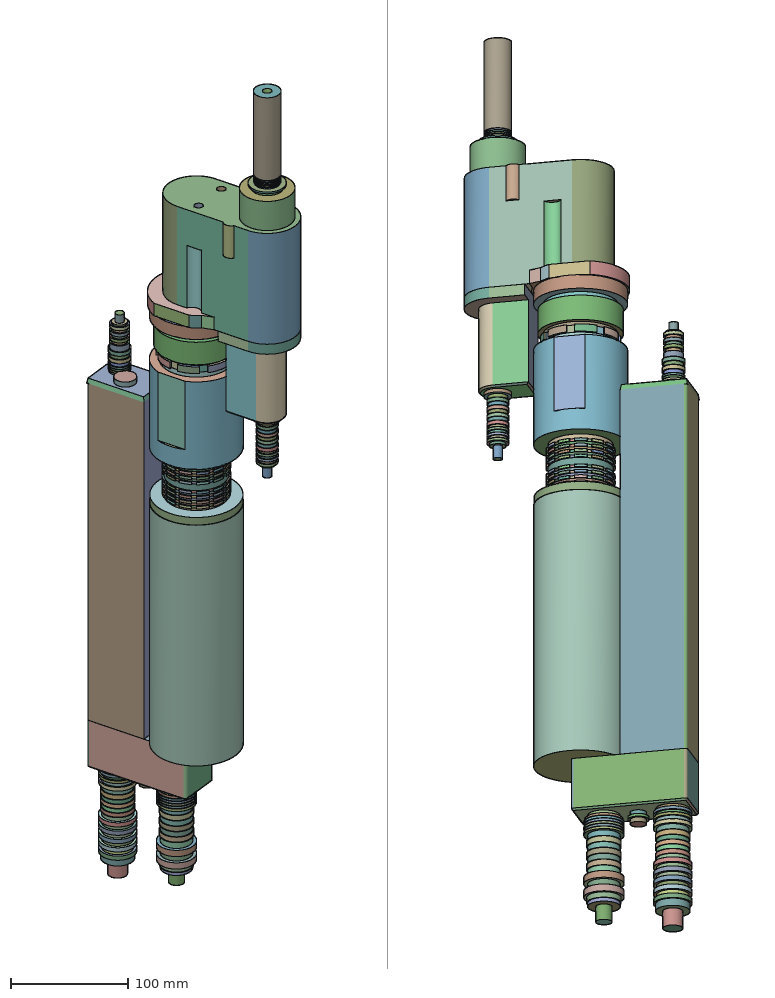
import cadquery as cq
import math

OUTPUT_X = 73.0

TOP_Z = 820
HEAD_TOP_Z = 696.5
FLANGE_TOP_Z = 600.0
HEAD_BOTTOM_Z = 587.0
PLATE_BOTTOM_Z = 577.5
FLANGE_BOTTOM_Z = 575.0
BOX_TOP_Z = 491.0
TUBE_BOTTOM_Z = 155.0
BASE_BOTTOM_Z = 108.0


def cylinder(diameter, bottom_z, top_z, x=0.0, y=0.0):
    """Upright cylinder between two heights."""
    return cq.Workplane("XY", origin=(x, y, bottom_z)).circle(diameter / 2).extrude(top_z - bottom_z)


def block(x_min, x_max, width, bottom_z, top_z):
    """Upright block centred on Y = 0."""
    base = cq.Workplane("XY", origin=((x_min + x_max) / 2, 0, bottom_z))
    return base.rect(x_max - x_min, width).extrude(top_z - bottom_z)


def turned_stack(start_z, sections, x=0.0, y=0.0):
    """Turned shape from (diameter, end height) sections that follow on from start_z."""
    outline = [(0, start_z)]
    section_start = start_z
    for diameter, section_end in sections:
        outline.append((diameter / 2, section_start))
        outline.append((diameter / 2, section_end))
        section_start = section_end
    outline.append((0, section_start))
    turned = cq.Workplane("XZ").polyline(outline).close().revolve(360, (0, 0), (0, 1))
    return turned.translate((x, y, 0))


def ribs(count, rib_diameter, groove_diameter, start_z, end_z):
    """Turned sections for evenly spaced ribs, each one after a groove of the same height."""
    step = (end_z - start_z) / (2 * count)
    sections = []
    for index in range(count):
        groove_end = start_z + (2 * index + 1) * step
        sections.append((groove_diameter, groove_end))
        sections.append((rib_diameter, groove_end + step))
    return sections


def radial_notches(count, width, floor_diameter, bottom_z, top_z):
    """Ring of radial slot cutters that reach in to floor_diameter."""
    floor_radius = floor_diameter / 2
    outer_radius = floor_diameter
    cutters = cq.Workplane("XY")
    for index in range(count):
        cutter = block(floor_radius, outer_radius, width, bottom_z, top_z)
        cutters = cutters.add(cutter.rotate((0, 0, 0), (0, 0, 1), 360 * index / count))
    return cutters.combine()


TUBE_DIAMETER = 80.0
TUBE_RIM_DIAMETER = 79.5
TUBE_RIM_Z = 392.0
TUBE_TOP_Z = 399.5
GRIP_TOP_Z = 447.0
GRIP_DIAMETER = 59.0
GRIP_CORE_DIAMETER = 56.0
GRIP_RIB_PITCH = 5.0
GRIP_RIBS_PER_BAND = 4
GRIP_SLOTS = 12
GRIP_SLOT_WIDTH = 4.0
HOUSING_TOP_Z = 533
HOUSING_FLAT_BOTTOM_Z = 466.0
FLAT_DISTANCE = 38.0
NECK_DIAMETER = 64.0
NOTCHED_RING_BOTTOM_Z = 538.0
NOTCHED_RING_TOP_Z = 545.0
NOTCHED_RING_DIAMETER = 69.0
RING_NOTCHES = 8
RING_NOTCH_WIDTH = 7.0
COLLAR_BOTTOM_Z = 548.0
COLLAR_TOP_Z = 570.0
COLLAR_DIAMETER = 73.0
FLANGE_DIAMETER = 84.0
WEB_START = (27.0, 32.0)
WEB_END = (38.0, 29.0)


def side_flats(bottom_z, top_z):
    """Cutters for two flats, at -Y and +Y."""
    size = 2 * TUBE_DIAMETER
    stock = block(-size / 2, size / 2, size, bottom_z, top_z)
    return stock.cut(block(-size / 2, size / 2, 2 * FLAT_DISTANCE, bottom_z, top_z))


def make_grip():
    grip = cylinder(GRIP_CORE_DIAMETER, TUBE_TOP_Z, GRIP_TOP_Z)
    band_height = (GRIP_TOP_Z - TUBE_TOP_Z) / 2
    for band in range(2):
        for index in range(GRIP_RIBS_PER_BAND):
            rib_z = TUBE_TOP_Z + band * band_height + (index + 0.5) * GRIP_RIB_PITCH
            grip = grip.union(cylinder(GRIP_DIAMETER, rib_z, rib_z + GRIP_RIB_PITCH / 2))
    slots = radial_notches(GRIP_SLOTS, GRIP_SLOT_WIDTH, GRIP_CORE_DIAMETER, TUBE_TOP_Z, GRIP_TOP_Z)
    return grip.cut(slots)


def make_flange():
    flange = cylinder(FLANGE_DIAMETER, HEAD_BOTTOM_Z, FLANGE_TOP_Z)
    web = (
        cq.Workplane("XY", origin=(0, 0, HEAD_BOTTOM_Z))
        .moveTo(0, 0)
        .lineTo(0, WEB_START[1])
        .lineTo(*WEB_START)
        .lineTo(*WEB_END)
        .lineTo(WEB_END[0], 0)
        .mirrorX()
        .extrude(FLANGE_TOP_Z - HEAD_BOTTOM_Z)
    )
    return flange.cut(side_flats(HEAD_BOTTOM_Z, FLANGE_TOP_Z)).union(web)


def make_handle():
    tube = turned_stack(TUBE_BOTTOM_Z, [(TUBE_DIAMETER, TUBE_RIM_Z), (TUBE_RIM_DIAMETER, TUBE_TOP_Z)])
    housing = cylinder(TUBE_DIAMETER, GRIP_TOP_Z, HOUSING_TOP_Z)
    housing = housing.cut(side_flats(HOUSING_FLAT_BOTTOM_Z, HOUSING_TOP_Z))
    upper = turned_stack(
        HOUSING_TOP_Z,
        [
            (NECK_DIAMETER, NOTCHED_RING_BOTTOM_Z),
            (NOTCHED_RING_DIAMETER, NOTCHED_RING_TOP_Z),
            (NECK_DIAMETER, COLLAR_BOTTOM_Z),
            (COLLAR_DIAMETER, COLLAR_TOP_Z),
            (NECK_DIAMETER, FLANGE_BOTTOM_Z),
            (TUBE_DIAMETER, HEAD_BOTTOM_Z),
        ],
    )
    notches = radial_notches(
        RING_NOTCHES, RING_NOTCH_WIDTH, NECK_DIAMETER, NOTCHED_RING_BOTTOM_Z, NOTCHED_RING_TOP_Z
    )
    upper = upper.cut(notches)
    return tube.union(make_grip()).union(housing).union(upper).union(make_flange())


HEAD_WIDTH = 57.5
BOSS_DIAMETER = 47.5
BOSS_TOP_Z = 725.0
LUG_DIAMETER = 14.0
LUG_X = 52.5
LUG_Y = 25
LUG_BOTTOM_Z = 664.5
CHANNEL_DIAMETER = 16
CHANNEL_X = 17.0
CHANNEL_Y = 32.0
CHANNEL_TOP_Z = 661.0
SCREW_HOLE_DIAMETER = 8.0
SCREW_HOLE_X = 14.0
SCREW_HOLE_Y = 17.0
SCREW_HOLE_DEPTH = 8


def head_outline(bottom_z, top_z):
    length = OUTPUT_X + HEAD_WIDTH
    outline = cq.Workplane("XY", origin=(OUTPUT_X / 2, 0, bottom_z))
    return outline.slot2D(length, HEAD_WIDTH).extrude(top_z - bottom_z)


def make_head(handle, spindle):
    head = head_outline(HEAD_BOTTOM_Z, HEAD_TOP_Z)
    head = head.union(cylinder(BOSS_DIAMETER, HEAD_TOP_Z, BOSS_TOP_Z, OUTPUT_X))
    for side in (-1, 1):
        hole_bottom_z = HEAD_TOP_Z - SCREW_HOLE_DEPTH
        head = head.union(cylinder(LUG_DIAMETER, LUG_BOTTOM_Z, HEAD_TOP_Z, LUG_X, side * LUG_Y))
        head = head.cut(cylinder(CHANNEL_DIAMETER, FLANGE_TOP_Z, CHANNEL_TOP_Z, CHANNEL_X, side * CHANNEL_Y))
        head = head.cut(
            cylinder(SCREW_HOLE_DIAMETER, hole_bottom_z, HEAD_TOP_Z, SCREW_HOLE_X, side * SCREW_HOLE_Y)
        )
    return head.cut(handle).cut(spindle)


SMALL_PLUG_DIAMETER = 19.0
SMALL_PLUG_GROOVE = 17.0
SMALL_NUT_GROOVE = 16
SMALL_PLUG_TIP_DIAMETER = 14.0
SMALL_CABLE_DIAMETER = 8.0


SHAFT_DIAMETER = 24.0
COLLAR_NECK_DIAMETER = 28.0
SPINDLE_COLLAR_DIAMETER = 33
SPINDLE_COLLAR_BOTTOM_Z = 728.5
SPINDLE_COLLAR_TOP_Z = 730
SHAFT_RIBS = 2
SHAFT_RIBS_TOP_Z = 737.0
SHAFT_GROOVE_TOP_Z = 738
SHAFT_GROOVE_DIAMETER = 22.0
SHAFT_HOLE_DIAMETER = 8.0
SHAFT_HOLE_DEPTH = 8


def make_spindle():
    spindle = turned_stack(
        BOSS_TOP_Z,
        [
            (COLLAR_NECK_DIAMETER, SPINDLE_COLLAR_BOTTOM_Z),
            (SPINDLE_COLLAR_DIAMETER, SPINDLE_COLLAR_TOP_Z),
            *ribs(SHAFT_RIBS, SHAFT_DIAMETER, SHAFT_GROOVE_DIAMETER, SPINDLE_COLLAR_TOP_Z, SHAFT_RIBS_TOP_Z),
            (SHAFT_GROOVE_DIAMETER, SHAFT_GROOVE_TOP_Z),
            (SHAFT_DIAMETER, TOP_Z),
        ],
        OUTPUT_X,
    )
    return spindle.cut(cylinder(SHAFT_HOLE_DIAMETER, TOP_Z - SHAFT_HOLE_DEPTH, TOP_Z, OUTPUT_X))


SENSOR_X_MIN = 42.0
SENSOR_WIDTH = 33
SENSOR_BOTTOM_Z = 501.0
SENSOR_CHAMFER = 2.0
SENSOR_GLAND_DIAMETER = 24.0
SENSOR_GLAND_Z = 498.0
SENSOR_PLUG_RIBS = 4
SENSOR_RIBS_Z = 470.0
SENSOR_NUT_RIBS = 3
SENSOR_NUT_Z = 455.0
SENSOR_TIP_Z = 453.0
SENSOR_CABLE_Z = 441.0


def make_sensor():
    plate = head_outline(PLATE_BOTTOM_Z, HEAD_BOTTOM_Z)
    plate = plate.intersect(
        block(SENSOR_X_MIN, OUTPUT_X + HEAD_WIDTH, HEAD_WIDTH, PLATE_BOTTOM_Z, HEAD_BOTTOM_Z)
    )
    body = block(SENSOR_X_MIN, OUTPUT_X, SENSOR_WIDTH, SENSOR_BOTTOM_Z, PLATE_BOTTOM_Z)
    body = body.union(cylinder(SENSOR_WIDTH, SENSOR_BOTTOM_Z, PLATE_BOTTOM_Z, OUTPUT_X))
    body = body.faces("<Z").chamfer(SENSOR_CHAMFER)
    plug = turned_stack(
        SENSOR_BOTTOM_Z,
        [
            (SENSOR_GLAND_DIAMETER, SENSOR_GLAND_Z),
            *ribs(SENSOR_PLUG_RIBS, SMALL_PLUG_DIAMETER, SMALL_PLUG_GROOVE, SENSOR_GLAND_Z, SENSOR_RIBS_Z),
            *ribs(SENSOR_NUT_RIBS, SMALL_PLUG_DIAMETER, SMALL_NUT_GROOVE, SENSOR_RIBS_Z, SENSOR_NUT_Z),
            (SMALL_PLUG_TIP_DIAMETER, SENSOR_TIP_Z),
            (SMALL_CABLE_DIAMETER, SENSOR_CABLE_Z),
        ],
        OUTPUT_X,
    )
    return plate.union(body).union(plug)


BOX_X_MIN = -99.0
BOX_X_MAX = -TUBE_DIAMETER / 2
BOX_WIDTH = 41
BOX_ROUNDING = 2.5
LID_BOTTOM_Z = 486.5
LID_INSET = 1.0
CAP_X = -69.0
CAP_DIAMETER = 20.0
CAP_HEIGHT = 5.0
BOX_PLUG_X = -84.0
BOX_PLUG_Y = 6.5
BOX_PLUG_DIAMETER = 20.0
BOX_PLUG_BASE_RIBS = 2
BOX_PLUG_BASE_Z = 499.5
BOX_PLUG_RIBS = 2
BOX_PLUG_RIBS_Z = 514.0
BOX_PLUG_NECK_Z = 520.0
BOX_NUT_RIBS = 3
BOX_NUT_DIAMETER = 17.0
BOX_NUT_Z = 538.0
BOX_TIP_Z = 540.0
BOX_CABLE_Z = 548.0


def make_box():
    box = block(BOX_X_MIN, BOX_X_MAX, BOX_WIDTH, TUBE_BOTTOM_Z, LID_BOTTOM_Z)
    box = box.edges("|Z and <X").fillet(BOX_ROUNDING)
    lid_height = BOX_TOP_Z - LID_BOTTOM_Z
    lid_taper = math.degrees(math.atan(LID_INSET / lid_height))
    lid = (
        cq.Workplane("XY", origin=((BOX_X_MIN + BOX_X_MAX) / 2, 0, LID_BOTTOM_Z))
        .rect(BOX_X_MAX - BOX_X_MIN, BOX_WIDTH)
        .extrude(lid_height, taper=lid_taper)
    )
    cap = cylinder(CAP_DIAMETER, BOX_TOP_Z, BOX_TOP_Z + CAP_HEIGHT, CAP_X, -BOX_PLUG_Y)
    plug = turned_stack(
        BOX_TOP_Z,
        [
            *ribs(BOX_PLUG_BASE_RIBS, BOX_PLUG_DIAMETER, SMALL_PLUG_DIAMETER, BOX_TOP_Z, BOX_PLUG_BASE_Z),
            *ribs(BOX_PLUG_RIBS, BOX_PLUG_DIAMETER, SMALL_PLUG_GROOVE, BOX_PLUG_BASE_Z, BOX_PLUG_RIBS_Z),
            (SMALL_PLUG_GROOVE, BOX_PLUG_NECK_Z),
            *ribs(BOX_NUT_RIBS, BOX_NUT_DIAMETER, SMALL_PLUG_TIP_DIAMETER, BOX_PLUG_NECK_Z, BOX_NUT_Z),
            (SMALL_PLUG_TIP_DIAMETER, BOX_TIP_Z),
            (SMALL_CABLE_DIAMETER, BOX_CABLE_Z),
        ],
        BOX_PLUG_X,
        BOX_PLUG_Y,
    )
    return box.union(lid).union(cap).union(plug)


BASE_X_MAX = 3.0
BASE_CHAMFER = 2.0
LONG_PLUG_X = -81.0
LONG_PLUG_BODY = 29.5
LONG_PLUG_RING = 33
LONG_PLUG_NECK = 28.0
LONG_PLUG_CABLE = 17.0
LONG_PLUG_NUT_RIBS = 2
LONG_PLUG_NUT_Z = 98.0
LONG_PLUG_RING_Z = 90
LONG_PLUG_NECK_Z = 80.0
LONG_PLUG_BODY_Z = 63.0
LONG_PLUG_BODY_RIBS = 2
LONG_PLUG_TAIL_RIBS = 5
LONG_PLUG_TAIL_Z = 22.0
LONG_PLUG_END_Z = 15.5
SHORT_PLUG_X = -20.5
SHORT_PLUG_BODY = 29.5
SHORT_PLUG_RING = 34.5
SHORT_NUT_GROOVE = 33
SHORT_PLUG_NECK = 28.0
SHORT_PLUG_CABLE = 14.0
SHORT_PLUG_NECK_Z = 105.0
SHORT_NUT_RIBS = 3
SHORT_NUT_Z = 90
SHORT_PLUG_BODY_RIBS = 3
SHORT_PLUG_BODY_Z = 58.0
SHORT_PLUG_TAIL_RIBS = 2
SHORT_PLUG_TAIL_Z = 34.0
SHORT_PLUG_END_Z = 29.0
SHORT_PLUG_TIP_Z = 25.5
SHORT_PLUG_CABLE_Z = 11.5
VENT_X = -51.0
VENT_DIAMETER = 14.0
VENT_RING_DIAMETER = 18.0
VENT_RING_TOP_Z = 104.0
VENT_RING_BOTTOM_Z = 102.0
VENT_BOTTOM_Z = 98.0


def make_long_plug():
    return turned_stack(
        BASE_BOTTOM_Z,
        [
            *ribs(LONG_PLUG_NUT_RIBS, LONG_PLUG_RING, LONG_PLUG_BODY, BASE_BOTTOM_Z, LONG_PLUG_NUT_Z),
            *ribs(1, LONG_PLUG_RING, LONG_PLUG_BODY, LONG_PLUG_NUT_Z, LONG_PLUG_RING_Z),
            *ribs(1, LONG_PLUG_BODY, LONG_PLUG_NECK, LONG_PLUG_RING_Z, LONG_PLUG_NECK_Z),
            *ribs(LONG_PLUG_BODY_RIBS, LONG_PLUG_BODY, LONG_PLUG_NECK, LONG_PLUG_NECK_Z, LONG_PLUG_BODY_Z),
            *ribs(LONG_PLUG_TAIL_RIBS, LONG_PLUG_RING, LONG_PLUG_NECK, LONG_PLUG_BODY_Z, LONG_PLUG_TAIL_Z),
            (LONG_PLUG_BODY, LONG_PLUG_END_Z),
            (LONG_PLUG_CABLE, 0),
        ],
        LONG_PLUG_X,
    )


def make_short_plug():
    return turned_stack(
        BASE_BOTTOM_Z,
        [
            (SHORT_PLUG_NECK, SHORT_PLUG_NECK_Z),
            *ribs(SHORT_NUT_RIBS, SHORT_PLUG_RING, SHORT_NUT_GROOVE, SHORT_PLUG_NECK_Z, SHORT_NUT_Z),
            *ribs(SHORT_PLUG_BODY_RIBS, SHORT_PLUG_BODY, SHORT_PLUG_NECK, SHORT_NUT_Z, SHORT_PLUG_BODY_Z),
            *ribs(SHORT_PLUG_TAIL_RIBS, SHORT_PLUG_RING, SHORT_PLUG_NECK, SHORT_PLUG_BODY_Z, SHORT_PLUG_TAIL_Z),
            (SHORT_PLUG_BODY, SHORT_PLUG_END_Z),
            (SHORT_PLUG_NECK, SHORT_PLUG_TIP_Z),
            (SHORT_PLUG_CABLE, SHORT_PLUG_CABLE_Z),
        ],
        SHORT_PLUG_X,
    )


def make_vent():
    return turned_stack(
        BASE_BOTTOM_Z,
        [
            (VENT_DIAMETER, VENT_RING_TOP_Z),
            (VENT_RING_DIAMETER, VENT_RING_BOTTOM_Z),
            (VENT_DIAMETER, VENT_BOTTOM_Z),
        ],
        VENT_X,
    )


def make_base():
    base = block(BOX_X_MIN, BASE_X_MAX, BOX_WIDTH, BASE_BOTTOM_Z, TUBE_BOTTOM_Z)
    base = base.edges("|Z").fillet(BOX_ROUNDING)
    base = base.faces("<Z").chamfer(BASE_CHAMFER)
    return base.union(make_long_plug()).union(make_short_plug()).union(make_vent())


handle = make_handle()
spindle = make_spindle()
head = make_head(handle, spindle)
sensor = make_sensor()
box = make_box()
base = make_base()

result = cq.Compound.makeCompound(
    [handle.val(), spindle.val(), head.val(), sensor.val(), box.val(), base.val()]
)